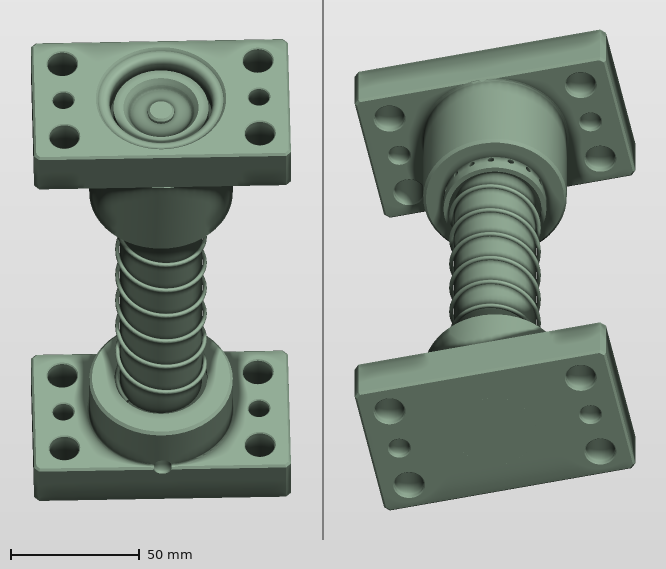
import cadquery as cq
import math


TOTAL_HEIGHT = 215.0
PLATE_ANGLE = 48.6

PLATE_LENGTH = 100.0
PLATE_WIDTH = 58.0
PLATE_THICKNESS = 20.0
PLATE_CORNER = 2.0
EDGE_CHAMFER = 0.9
HOLE_ROW_OFFSET = 38.0
SCREW_HOLE_SPACING = 36.1
SCREW_HOLE_DIAMETER = 11.6
DOWEL_HOLE_DIAMETER = 8.2
HOLE_CHAMFER = 0.5

BOSS_RADIUS = 28.0
BOSS_CHAMFER = 1.0
BOSS_FILLET = 0.9
UPPER_BOSS_BOTTOM = 155.0
LOWER_BOSS_TOP = 40.2
DRAIN_DIAMETER = 6.9
DRAIN_DEPTH = 6.5

BUSHING_RADIUS = 24.3
BUSHING_BORE_RADIUS = 20.0
BUSHING_TOP = TOTAL_HEIGHT - 1.0
BUSHING_LEAD_IN = 2.5

POST_RADIUS = 16.0
CAP_RADIUS = 18.5
CAP_TOP = 209.2
CAP_THICKNESS = 5.5
CUP_RIM_RADIUS = 14.6
CUP_WAIST_RADIUS = 13.0
CUP_WAIST_DEPTH = 2.2
CUP_FLOOR_RADIUS = 11.2
CUP_DEPTH = 3.7
SCREW_RADIUS = 5.2
SCREW_RISE = 2.2
SCREW_CHAMFER = 0.9
SCREW_DEPTH = 8.5

CAGE_BOTTOM = 148.0
CAGE_POCKET_COUNT = 16
CAGE_POCKET_DIAMETER = 2.5
CAGE_POCKET_HEIGHT = 153.3

SPRING_CLEARANCE = 0.2
WIRE_RADIUS = 0.9
COIL_RADIUS = POST_RADIUS + SPRING_CLEARANCE + WIRE_RADIUS
COIL_PITCH = 16.0
COIL_START_ANGLE = 267.0
SPRING_SEAT_RADIUS = COIL_RADIUS + WIRE_RADIUS + SPRING_CLEARANCE
SPRING_SEAT_DEPTH = 2.2

CAP_BOTTOM = CAP_TOP - CAP_THICKNESS
CUP_FLOOR = CAP_TOP - CUP_DEPTH


def cylinder(radius, bottom, top):
    return cq.Workplane("XY").workplane(offset=bottom).circle(radius).extrude(top - bottom)


def make_plate():
    """Plate standing on Z = 0 with its long side along X, before it is turned to its final angle."""
    plate = (
        cq.Workplane("XY")
        .box(PLATE_LENGTH, PLATE_WIDTH, PLATE_THICKNESS, centered=(True, True, False))
        .edges("|Z").chamfer(PLATE_CORNER)
        .faces("<Z or >Z").chamfer(EDGE_CHAMFER)
    )
    for row_x in (-HOLE_ROW_OFFSET, HOLE_ROW_OFFSET):
        for hole_y, diameter in (
            (-SCREW_HOLE_SPACING / 2, SCREW_HOLE_DIAMETER),
            (0, DOWEL_HOLE_DIAMETER),
            (SCREW_HOLE_SPACING / 2, SCREW_HOLE_DIAMETER),
        ):
            plate = plate.cut(make_chamfered_hole(diameter).translate((row_x, hole_y, 0)))
    return plate


def make_chamfered_hole(diameter):
    """Cutter for a hole through the plate that widens at both ends."""
    radius = diameter / 2
    rim = radius + HOLE_CHAMFER
    return (
        cq.Workplane("XZ")
        .polyline([
            (0, 0),
            (rim, 0),
            (radius, HOLE_CHAMFER),
            (radius, PLATE_THICKNESS - HOLE_CHAMFER),
            (rim, PLATE_THICKNESS),
            (0, PLATE_THICKNESS),
        ])
        .close()
        .revolve(360, (0, 0, 0), (0, 1, 0))
    )


def make_boss(height):
    """Round boss on a plate that stands on Z = 0, with a filleted foot and a chamfered end."""
    foot = PLATE_THICKNESS
    inset = BOSS_FILLET * (1 - math.sqrt(0.5))
    return (
        cq.Workplane("XZ")
        .moveTo(0, foot)
        .lineTo(BOSS_RADIUS + BOSS_FILLET, foot)
        .threePointArc((BOSS_RADIUS + inset, foot + inset), (BOSS_RADIUS, foot + BOSS_FILLET))
        .lineTo(BOSS_RADIUS, height - BOSS_CHAMFER)
        .lineTo(BOSS_RADIUS - BOSS_CHAMFER, height)
        .lineTo(0, height)
        .close()
        .revolve(360, (0, 0, 0), (0, 1, 0))
    )


def make_holder(height):
    """Plate with its boss, standing on the plate."""
    return make_plate().union(make_boss(height))


def make_lower_holder():
    post_bore = cylinder(POST_RADIUS, 0, LOWER_BOSS_TOP)
    spring_seat = cylinder(SPRING_SEAT_RADIUS, LOWER_BOSS_TOP - SPRING_SEAT_DEPTH, LOWER_BOSS_TOP)
    drain = (
        cq.Workplane("XZ", origin=(0, -PLATE_WIDTH / 2, PLATE_THICKNESS))
        .circle(DRAIN_DIAMETER / 2)
        .extrude(-DRAIN_DEPTH)
    )
    holder = make_holder(LOWER_BOSS_TOP).cut(post_bore).cut(spring_seat).cut(drain)
    return holder.rotate((0, 0, 0), (0, 0, 1), PLATE_ANGLE)


def make_upper_holder():
    holder = (
        make_holder(TOTAL_HEIGHT - UPPER_BOSS_BOTTOM)
        .rotate((0, 0, 0), (1, 0, 0), 180)
        .translate((0, 0, TOTAL_HEIGHT))
        .rotate((0, 0, 0), (0, 0, 1), PLATE_ANGLE)
        .cut(cylinder(BUSHING_RADIUS, UPPER_BOSS_BOTTOM, TOTAL_HEIGHT))
    )
    bore_rim = (
        cq.Workplane("XY").workplane(offset=BUSHING_TOP)
        .circle(BUSHING_RADIUS)
        .workplane(offset=TOTAL_HEIGHT - BUSHING_TOP)
        .circle(BUSHING_RADIUS + TOTAL_HEIGHT - BUSHING_TOP)
        .loft()
    )
    return holder.cut(bore_rim)


def make_bushing():
    bore = cylinder(BUSHING_BORE_RADIUS, UPPER_BOSS_BOTTOM, BUSHING_TOP)
    bushing = cylinder(BUSHING_RADIUS, UPPER_BOSS_BOTTOM, BUSHING_TOP).cut(bore)
    bore_edge = cq.selectors.RadiusNthSelector(0)
    return bushing.faces(">Z").edges(bore_edge).fillet(BUSHING_LEAD_IN)


def make_cage():
    post_bore = cylinder(POST_RADIUS, CAGE_BOTTOM, CAP_BOTTOM)
    spring_seat = cylinder(SPRING_SEAT_RADIUS, CAGE_BOTTOM, CAGE_BOTTOM + SPRING_SEAT_DEPTH)
    cage = cylinder(BUSHING_BORE_RADIUS, CAGE_BOTTOM, CAP_BOTTOM).cut(post_bore).cut(spring_seat)
    pocket = (
        cq.Workplane("YZ", origin=(0, 0, CAGE_POCKET_HEIGHT))
        .circle(CAGE_POCKET_DIAMETER / 2)
        .extrude(BUSHING_BORE_RADIUS)
    )
    step = 360 / CAGE_POCKET_COUNT
    for index in range(CAGE_POCKET_COUNT):
        cage = cage.cut(pocket.rotate((0, 0, 0), (0, 0, 1), (index + 0.5) * step))
    return cage


def make_screw():
    shank = cylinder(SCREW_RADIUS, CAP_BOTTOM - SCREW_DEPTH, CUP_FLOOR + SCREW_RISE)
    return shank.faces(">Z").chamfer(SCREW_CHAMFER)


def make_post(screw):
    return cylinder(POST_RADIUS, 0, CAP_BOTTOM).cut(screw)


def make_cap(screw):
    """Disc on the post end with a cone-walled cup whose foot is rounded into the floor."""
    waist = CAP_TOP - CUP_WAIST_DEPTH
    wall_direction = (CUP_WAIST_RADIUS - CUP_RIM_RADIUS, -CUP_WAIST_DEPTH)
    cup = (
        cq.Workplane("XZ")
        .moveTo(0, CAP_TOP)
        .lineTo(CUP_RIM_RADIUS, CAP_TOP)
        .lineTo(CUP_WAIST_RADIUS, waist)
        .spline([(CUP_FLOOR_RADIUS, CUP_FLOOR)], tangents=[wall_direction, (-1, 0)], includeCurrent=True)
        .lineTo(0, CUP_FLOOR)
        .close()
        .revolve(360, (0, 0, 0), (0, 1, 0))
    )
    return cylinder(CAP_RADIUS, CAP_BOTTOM, CAP_TOP).cut(cup).cut(screw)


def make_spring():
    """Left-hand coil that stands on the seat in the lower boss and ends at the seat in the cage."""
    first_centre = LOWER_BOSS_TOP - SPRING_SEAT_DEPTH + WIRE_RADIUS
    last_centre = CAGE_BOTTOM + SPRING_SEAT_DEPTH - WIRE_RADIUS
    path = cq.Wire.makeHelix(COIL_PITCH, last_centre - first_centre, COIL_RADIUS, lefthand=True)
    return (
        cq.Workplane("XZ", origin=(COIL_RADIUS, 0, 0))
        .circle(WIRE_RADIUS)
        .sweep(cq.Workplane(path), isFrenet=True)
        .rotate((0, 0, 0), (0, 0, 1), COIL_START_ANGLE)
        .translate((0, 0, first_centre))
    )


lower_holder = make_lower_holder()
upper_holder = make_upper_holder()
bushing = make_bushing()
cage = make_cage()
cap_screw = make_screw()
post = make_post(cap_screw)
cap = make_cap(cap_screw)
spring = make_spring()

result = cq.Compound.makeCompound([
    lower_holder.val(),
    upper_holder.val(),
    bushing.val(),
    cage.val(),
    post.val(),
    cap.val(),
    cap_screw.val(),
    spring.val(),
])